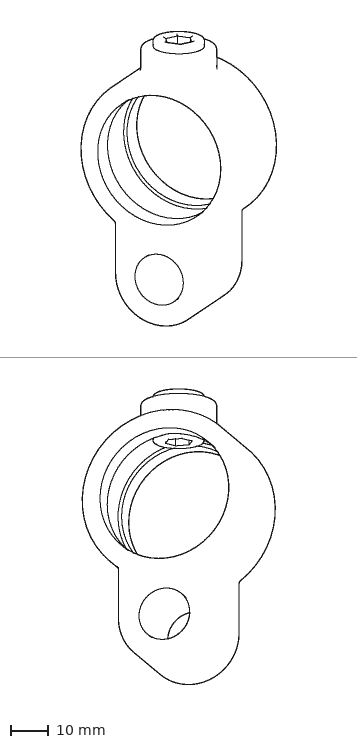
import cadquery as cq
import math

overall_height = 76
width = 25.0
ring_diameter = 46.0
ring_radius = ring_diameter / 2
bore_radius = 17.8
lug_radius = 13.0
lug_hole_radius = 7.0
lug_drop = 33.0
boss_radius = 10.0
boss_top = 28.0
edge_fillet = 1.0
boss_root_fillet = 1.0
notch_fillet = 1.0

groove_radius = 18.8
groove_width = 12.5

screw_radius = 6.8
screw_top = overall_height - lug_drop - lug_radius
screw_tip = 17.2
screw_end_fillet = 0.5
socket_flats = 6.45
socket_mouth_flats = 9.05
socket_rim_radius = 2.0


def disc(radius, length, z=0.0):
    """Cylinder along Y, centred on the XZ plane, with its axis at height z."""
    return cq.Workplane("XZ", origin=(0, length / 2, z)).circle(radius).extrude(length)


def upright_cylinder(radius, bottom, top):
    return cq.Workplane("XY").workplane(offset=bottom).circle(radius).extrude(top - bottom)


def make_body():
    """Ring and lug in one outline, with rounded notches and rounded rims."""
    lug_web = cq.Workplane("XY").box(2 * lug_radius, width, lug_drop, centered=(True, True, False))
    lug_web = lug_web.translate((0, 0, -lug_drop))
    body = disc(ring_radius, width).union(lug_web).union(disc(lug_radius, width, -lug_drop))
    notch_z = -math.sqrt(ring_radius**2 - lug_radius**2)
    for side in (-1, 1):
        notch = cq.selectors.NearestToPointSelector((side * lug_radius, 0, notch_z))
        body = body.edges(notch).fillet(notch_fillet)
    return body.faces("<Y or >Y").edges().fillet(edge_fillet)


def make_boss():
    boss = upright_cylinder(boss_radius, 0, boss_top)
    return boss.faces(">Z").edges().fillet(edge_fillet)


def make_housing():
    housing = make_body().union(make_boss())
    root_reach = boss_radius + edge_fillet
    root = cq.selectors.BoxSelector(
        (-root_reach, -root_reach, bore_radius),
        (root_reach, root_reach, boss_top - 2 * edge_fillet),
        boundingbox=True,
    )
    housing = housing.edges(root).fillet(boss_root_fillet)
    housing = housing.cut(disc(bore_radius, width)).cut(disc(groove_radius, groove_width))
    housing = housing.cut(disc(lug_hole_radius, width, -lug_drop))
    return housing.cut(upright_cylinder(screw_radius, 0, boss_top))


def cut_hexagon(screw, flats):
    """Cut a hexagon through the length of the screw, two corners in line with the X axis."""
    corner_to_corner = flats / math.cos(math.pi / 6)
    hexagon = cq.Workplane("XY").workplane(offset=screw_top).polygon(6, corner_to_corner)
    return screw.cut(hexagon.extrude(screw_tip - screw_top))


def make_screw():
    screw = upright_cylinder(screw_radius, screw_tip, screw_top)
    screw = screw.faces("<Z or >Z").edges().fillet(screw_end_fillet)
    pilot_flats = socket_mouth_flats - 2 * socket_rim_radius
    screw = cut_hexagon(screw, pilot_flats)
    screw = screw.faces(">Z").edges("%LINE").fillet(socket_rim_radius)
    return cut_hexagon(screw, socket_flats)


housing = make_housing()
screw = make_screw()
result = cq.Compound.makeCompound([housing.solids().val(), screw.solids().val()])